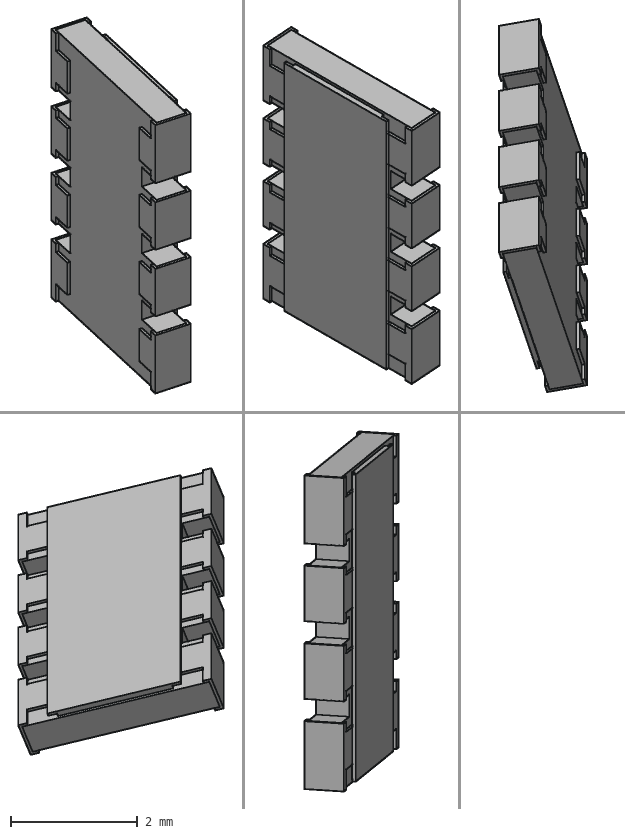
import cadquery as cq

TOTAL_WIDTH = 3.2
TOTAL_DEPTH = 0.7
TOTAL_HEIGHT = 5.08

FOIL = 0.05
LIP = 0.14
FRONT_TAB_REACH = 0.5
BACK_TAB_REACH = 0.645
TAB_HEIGHT = 0.61
TAB_PITCH = 1.27

NOTCH_COUNT = 3
NOTCH_HEIGHT = 0.36
NOTCH_PITCH = 1.26
NOTCH_REACH = FRONT_TAB_REACH

COVER_END_GAP = 0.05
COVER_CAP_THICKNESS = 0.05
COVER_CAP_WIDTH = TOTAL_WIDTH - 2 * NOTCH_REACH
COVER_BASE_WIDTH = TOTAL_WIDTH - 2 * BACK_TAB_REACH
COVER_HEIGHT = TOTAL_HEIGHT - 2 * COVER_END_GAP

SUBSTRATE_WIDTH = TOTAL_WIDTH - 2 * FOIL
SUBSTRATE_DEPTH = TOTAL_DEPTH - 2 * FOIL - COVER_CAP_THICKNESS

OUTER_X = TOTAL_WIDTH / 2
BACK_Y = SUBSTRATE_DEPTH / 2
FRONT_Y = -BACK_Y
TOP_Z = TOTAL_HEIGHT / 2


def centered_row(count, pitch):
    """Evenly spaced positions, centred on zero."""
    return [(i - (count - 1) / 2) * pitch for i in range(count)]


NOTCH_CENTERS = centered_row(NOTCH_COUNT, NOTCH_PITCH)
TAB_CENTERS = centered_row(NOTCH_COUNT + 1, TAB_PITCH)


def block(x_range, y_range, z_range):
    """Box between two limits along each axis."""
    (x0, x1), (y0, y1), (z0, z1) = x_range, y_range, z_range
    return cq.Workplane("XY").box(x1 - x0, y1 - y0, z1 - z0, centered=False).translate((x0, y0, z0))


def make_substrate():
    """Plate with open notches along both side edges."""
    plate = cq.Workplane("XY").box(SUBSTRATE_WIDTH, SUBSTRATE_DEPTH, TOTAL_HEIGHT)
    notch_spots = [(side * OUTER_X, z) for side in (-1, 1) for z in NOTCH_CENTERS]
    notches = (
        cq.Workplane("XZ")
        .pushPoints(notch_spots)
        .rect(2 * NOTCH_REACH, NOTCH_HEIGHT)
        .extrude(SUBSTRATE_DEPTH / 2, both=True)
    )
    return plate.cut(notches)


def make_left_terminal(z_range, tab_range):
    """Foil channel around the left edge, with one tab on the front and one on the back."""
    left = -OUTER_X
    front_foil = (FRONT_Y - FOIL, FRONT_Y)
    back_foil = (BACK_Y, BACK_Y + FOIL)
    side_wall = block((left, left + FOIL), (front_foil[0], back_foil[1]), z_range)
    front_lip = block((left, left + LIP), front_foil, z_range)
    back_lip = block((left, left + LIP), back_foil, z_range)
    front_tab = block((left, left + FRONT_TAB_REACH), front_foil, tab_range)
    back_tab = block((left, left + BACK_TAB_REACH), back_foil, tab_range)
    return side_wall.union(front_lip).union(back_lip).union(front_tab).union(back_tab)


def make_terminals():
    """One terminal on each land left between the notches, on both sides."""
    bottoms = [-TOP_Z] + [z + NOTCH_HEIGHT / 2 for z in NOTCH_CENTERS]
    tops = [z - NOTCH_HEIGHT / 2 for z in NOTCH_CENTERS] + [TOP_Z]
    terminals = []
    for bottom, top, tab_center in zip(bottoms, tops, TAB_CENTERS):
        tab_range = (tab_center - TAB_HEIGHT / 2, tab_center + TAB_HEIGHT / 2)
        left_terminal = make_left_terminal((bottom, top), tab_range)
        terminals += [left_terminal, left_terminal.mirror("YZ")]
    return terminals


def make_cover():
    """T-section plate: a base on the substrate and a wider cap over the back tabs."""
    base_top = BACK_Y + FOIL
    z_range = (-COVER_HEIGHT / 2, COVER_HEIGHT / 2)
    base = block((-COVER_BASE_WIDTH / 2, COVER_BASE_WIDTH / 2), (BACK_Y, base_top), z_range)
    cap = block(
        (-COVER_CAP_WIDTH / 2, COVER_CAP_WIDTH / 2),
        (base_top, base_top + COVER_CAP_THICKNESS),
        z_range,
    )
    return base.union(cap)


substrate = make_substrate()
terminals = make_terminals()
cover = make_cover()

result = cq.Compound.makeCompound(
    [substrate.val(), cover.val(), *[terminal.val() for terminal in terminals]]
)